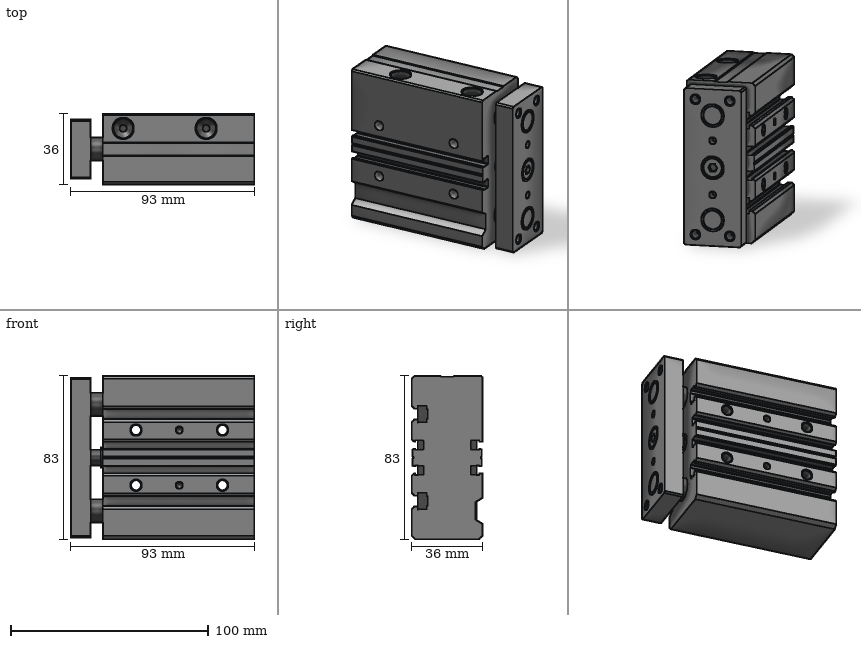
import cadquery as cq
import math


TOTAL_LENGTH = 93.0
HOUSING_START = 16.3
HOUSING_LENGTH = TOTAL_LENGTH - HOUSING_START
HOUSING_DEPTH = 36.0
HOUSING_HEIGHT = 83.0
HALF_DEPTH = HOUSING_DEPTH / 2
HALF_HEIGHT = HOUSING_HEIGHT / 2

TOP_FRONT_CHAMFER = 1.5
TOP_BACK_CHAMFER = 0.8
BOTTOM_CHAMFER = 1.95

WIDE_SLOT_Z = 22.0
WIDE_MOUTH = 5.4
WIDE_CAVITY = 8.4
WIDE_LIP = 3.2
WIDE_DEPTH = 7.7
WIDE_CORNER_CHAMFER = 0.3
WIDE_RECESS = 4.8
WIDE_RECESS_DEPTH = 0.5
WIDE_MOUTH_CHAMFER = 1.4

RIB_HEIGHT = 8.9
NARROW_MOUTH = 3.5
NARROW_LIP = 1.8
NARROW_OUTER_UNDERCUT = 0.7
NARROW_RIB_UNDERCUT = 0.4
NARROW_DEPTH = 6.0
NARROW_CHAMFER = 1.2
NARROW_CORNER_CHAMFER = 0.4
NARROW_OUTER_Z = RIB_HEIGHT / 2 + NARROW_MOUTH

RIB_SETBACK = 0.4
RIB_BEVEL_LENGTH = 0.7
RIB_BEVEL_DROP = 0.4
RIB_GROOVE_WIDTH = 1.3
RIB_GROOVE_FLOOR = 0.6
RIB_GROOVE_DEPTH = 0.5

TOP_GROOVE_WIDTH = 7.1
TOP_GROOVE_FLOOR = 6.1
TOP_GROOVE_DEPTH = 0.4
BACK_GROOVE_WIDTH = 13.2
BACK_GROOVE_DEPTH = 3.7
BACK_GROOVE_SLOPE = 0.63

GUIDE_SPACING = 53.9
GUIDE_RADIUS = 5.95
GUIDE_TIP_RADIUS = 4.9
GUIDE_TIP_LENGTH = 0.3
TIP_CHAMFER = 0.2
ROD_END = 83.7
PISTON_RADIUS = 4.1
PISTON_HEAD_RADIUS = 4.9
PISTON_HEAD_LENGTH = 1.95
HEX_ACROSS_FLATS = 4.0
HEX_DEPTH = 2.8
COLLAR_RADIUS = 5.2
COLLAR_LENGTH = 1.0

PLATE_THICKNESS = 10.0
PLATE_DEPTH = 30.0
PLATE_HEIGHT = 81.0
PLATE_CORNER_CHAMFER = 0.8
PLATE_HOLE_SPACING_Y = 18.0
PLATE_HOLE_SPACING_Z = 69.9
PLATE_HOLE_RADIUS = 2.0
PLATE_HOLE_CHAMFER = 0.6

MOUNT_HOLE_SPACING_Z = 28.0
MOUNT_HOLE_X = (33.0, 76.8)
MOUNT_HOLE_RADIUS = 2.5
MOUNT_HOLE_CHAMFER = 0.5
DOWEL_HOLE_X = sum(MOUNT_HOLE_X) / len(MOUNT_HOLE_X)
DOWEL_RADIUS = 1.7
DOWEL_CHAMFER = 0.2
DOWEL_DEPTH = 6.0
PORT_X = (26.5, 68.5)
PORT_Y = 10.5
PORT_RADIUS = 4.9
PORT_CHAMFER = 0.6
PORT_DEPTH = 9.3
PORT_PASSAGE_RADIUS = 1.8
PORT_PASSAGE_DEPTH = 18.6
DRILL_SLOPE = math.tan(math.radians(30))

ALONG_X = cq.Vector(1, 0, 0)
ALONG_Y = cq.Vector(0, 1, 0)
DOWN = cq.Vector(0, 0, -1)


def cylinder(radius, length, start, direction):
    return cq.Workplane(cq.Solid.makeCylinder(radius, length, start, direction))


def countersink(radius, chamfer, start, direction):
    return cq.Workplane(cq.Solid.makeCone(radius + chamfer, radius, chamfer, start, direction))


def through_hole(radius, chamfer, length, start, direction):
    """Hole of the given length, chamfered at its start."""
    return cylinder(radius, length, start, direction).union(countersink(radius, chamfer, start, direction))


def drilled_hole(radius, chamfer, depth, start, direction):
    """Blind hole with a chamfered mouth and a conical drill point."""
    bottom = start + direction * depth
    point = cq.Workplane(cq.Solid.makeCone(radius, 0, radius * DRILL_SLOPE, bottom, direction))
    return through_hole(radius, chamfer, depth, start, direction).union(point)


def bar(points):
    """Prism along the whole housing with the given (Y, Z) outline."""
    return cq.Workplane("YZ", origin=(HOUSING_START, 0, 0)).polyline(points).close().extrude(HOUSING_LENGTH)


def mirrored(points):
    """Outline completed by its mirror image below Z = 0."""
    return points + [(y, -z) for y, z in reversed(points)]


def housing_block():
    return bar([
        (-HALF_DEPTH, HALF_HEIGHT - TOP_FRONT_CHAMFER),
        (-HALF_DEPTH + TOP_FRONT_CHAMFER, HALF_HEIGHT),
        (HALF_DEPTH - TOP_BACK_CHAMFER, HALF_HEIGHT),
        (HALF_DEPTH, HALF_HEIGHT - TOP_BACK_CHAMFER),
        (HALF_DEPTH, -HALF_HEIGHT + BOTTOM_CHAMFER),
        (HALF_DEPTH - BOTTOM_CHAMFER, -HALF_HEIGHT),
        (-HALF_DEPTH + BOTTOM_CHAMFER, -HALF_HEIGHT),
        (-HALF_DEPTH, -HALF_HEIGHT + BOTTOM_CHAMFER),
    ])


def wide_slot():
    """Chamfered T-slot with a recessed floor, centred on Z = 0 in the front side."""
    face = -HALF_DEPTH
    return bar(mirrored([
        (face, WIDE_MOUTH / 2 + WIDE_MOUTH_CHAMFER),
        (face + WIDE_MOUTH_CHAMFER, WIDE_MOUTH / 2),
        (face + WIDE_LIP, WIDE_MOUTH / 2),
        (face + WIDE_LIP, WIDE_CAVITY / 2),
        (face + WIDE_DEPTH - WIDE_CORNER_CHAMFER, WIDE_CAVITY / 2),
        (face + WIDE_DEPTH, WIDE_CAVITY / 2 - WIDE_CORNER_CHAMFER),
        (face + WIDE_DEPTH, WIDE_RECESS / 2),
        (face + WIDE_DEPTH + WIDE_RECESS_DEPTH, WIDE_RECESS / 2),
    ]))


def narrow_slot(outer_chamfer):
    """T-slot in the front side just above the centre rib; its outer lip may be chamfered."""
    face = -HALF_DEPTH
    rib_top = RIB_HEIGHT / 2
    cavity_bottom = rib_top - NARROW_RIB_UNDERCUT
    cavity_top = NARROW_OUTER_Z + NARROW_OUTER_UNDERCUT
    outline = [
        (face, rib_top),
        (face + NARROW_LIP, rib_top),
        (face + NARROW_LIP, cavity_bottom),
        (face + NARROW_DEPTH - NARROW_CORNER_CHAMFER, cavity_bottom),
        (face + NARROW_DEPTH, cavity_bottom + NARROW_CORNER_CHAMFER),
        (face + NARROW_DEPTH, cavity_top - NARROW_CORNER_CHAMFER),
        (face + NARROW_DEPTH - NARROW_CORNER_CHAMFER, cavity_top),
        (face + NARROW_LIP, cavity_top),
        (face + NARROW_LIP, NARROW_OUTER_Z),
        (face + outer_chamfer, NARROW_OUTER_Z),
    ]
    if outer_chamfer > 0:
        outline.append((face, NARROW_OUTER_Z + outer_chamfer))
    return bar(outline)


def rib_relief():
    """Sets the front of the centre rib back, bevels its corners and grooves it along its middle."""
    face = -HALF_DEPTH
    rib_face = face + RIB_SETBACK
    return bar(mirrored([
        (face, RIB_HEIGHT / 2),
        (rib_face + RIB_BEVEL_LENGTH, RIB_HEIGHT / 2),
        (rib_face, RIB_HEIGHT / 2 - RIB_BEVEL_DROP),
        (rib_face, RIB_GROOVE_WIDTH / 2),
        (rib_face + RIB_GROOVE_DEPTH, RIB_GROOVE_FLOOR / 2),
    ]))


def top_groove():
    floor = HALF_HEIGHT - TOP_GROOVE_DEPTH
    return bar([
        (-TOP_GROOVE_WIDTH / 2, HALF_HEIGHT),
        (-TOP_GROOVE_FLOOR / 2, floor),
        (TOP_GROOVE_FLOOR / 2, floor),
        (TOP_GROOVE_WIDTH / 2, HALF_HEIGHT),
    ])


def back_groove():
    """Tapered groove in the back side, level with the lower guide rod."""
    floor_width = BACK_GROOVE_WIDTH - 2 * BACK_GROOVE_DEPTH * BACK_GROOVE_SLOPE
    groove = bar(mirrored([
        (HALF_DEPTH, BACK_GROOVE_WIDTH / 2),
        (HALF_DEPTH - BACK_GROOVE_DEPTH, floor_width / 2),
    ]))
    return groove.translate((0, 0, -GUIDE_SPACING / 2))


def port(x):
    """Top port: chamfered mouth, conical bottom and a narrow passage going on down."""
    start = cq.Vector(x, PORT_Y, HALF_HEIGHT)
    passage = cylinder(PORT_PASSAGE_RADIUS, PORT_PASSAGE_DEPTH, start, DOWN)
    return drilled_hole(PORT_RADIUS, PORT_CHAMFER, PORT_DEPTH, start, DOWN).union(passage)


def make_housing():
    housing = housing_block()
    for side in (1, -1):
        housing = housing.cut(wide_slot().translate((0, 0, side * WIDE_SLOT_Z)))
    for slot in (narrow_slot(NARROW_CHAMFER), narrow_slot(0).mirror("XZ")):
        housing = housing.cut(slot).cut(slot.mirror("XY"))
    housing = housing.cut(rib_relief()).cut(rib_relief().mirror("XZ"))
    housing = housing.cut(top_groove()).cut(back_groove())

    for z in (MOUNT_HOLE_SPACING_Z / 2, -MOUNT_HOLE_SPACING_Z / 2):
        for x in MOUNT_HOLE_X:
            start = cq.Vector(x, -HALF_DEPTH, z)
            housing = housing.cut(
                through_hole(MOUNT_HOLE_RADIUS, MOUNT_HOLE_CHAMFER, HOUSING_DEPTH, start, ALONG_Y)
            )
        start = cq.Vector(DOWEL_HOLE_X, -HALF_DEPTH, z)
        housing = housing.cut(drilled_hole(DOWEL_RADIUS, DOWEL_CHAMFER, DOWEL_DEPTH, start, ALONG_Y))
    for x in PORT_X:
        housing = housing.cut(port(x))

    collar_start = cq.Vector(HOUSING_START - COLLAR_LENGTH, 0, 0)
    housing = housing.union(cylinder(COLLAR_RADIUS, COLLAR_LENGTH, collar_start, ALONG_X))
    housing = housing.cut(cylinder(PISTON_RADIUS, ROD_END, cq.Vector(0, 0, 0), ALONG_X))
    for z in (GUIDE_SPACING / 2, -GUIDE_SPACING / 2):
        housing = housing.cut(cylinder(GUIDE_RADIUS, ROD_END, cq.Vector(0, 0, z), ALONG_X))
    return housing


def make_plate():
    plate = (
        cq.Workplane("YZ")
        .rect(PLATE_DEPTH, PLATE_HEIGHT)
        .extrude(PLATE_THICKNESS)
        .edges("|X")
        .chamfer(PLATE_CORNER_CHAMFER)
    )
    for y in (PLATE_HOLE_SPACING_Y / 2, -PLATE_HOLE_SPACING_Y / 2):
        for z in (PLATE_HOLE_SPACING_Z / 2, -PLATE_HOLE_SPACING_Z / 2):
            start = cq.Vector(0, y, z)
            plate = plate.cut(
                through_hole(PLATE_HOLE_RADIUS, PLATE_HOLE_CHAMFER, PLATE_THICKNESS, start, ALONG_X)
            )
    for z in (MOUNT_HOLE_SPACING_Z / 2, -MOUNT_HOLE_SPACING_Z / 2):
        start = cq.Vector(0, 0, z)
        plate = plate.cut(drilled_hole(DOWEL_RADIUS, DOWEL_CHAMFER, DOWEL_DEPTH, start, ALONG_X))
    for z in (GUIDE_SPACING / 2, -GUIDE_SPACING / 2):
        plate = plate.cut(cylinder(GUIDE_RADIUS, PLATE_THICKNESS, cq.Vector(0, 0, z), ALONG_X))
    centre = cq.Vector(0, 0, 0)
    plate = plate.cut(cylinder(PISTON_RADIUS, PLATE_THICKNESS, centre, ALONG_X))
    return plate.cut(cylinder(GUIDE_RADIUS, PISTON_HEAD_LENGTH, centre, ALONG_X))


def tipped_rod(radius, tip_radius, tip_length):
    """Rod from the plate's outer face into the housing, with a chamfered tip."""
    tip = cq.Workplane("YZ").circle(tip_radius).extrude(tip_length)
    tip = tip.faces("<X").chamfer(TIP_CHAMFER)
    shank = cq.Workplane("YZ", origin=(tip_length, 0, 0)).circle(radius).extrude(ROD_END - tip_length)
    return tip.union(shank)


def make_guide_rod(z):
    return tipped_rod(GUIDE_RADIUS, GUIDE_TIP_RADIUS, GUIDE_TIP_LENGTH).translate((0, 0, z))


def make_piston_rod():
    """Piston rod whose wider head sits in the plate and holds a hexagon socket."""
    rod = tipped_rod(PISTON_RADIUS, PISTON_HEAD_RADIUS, PISTON_HEAD_LENGTH)
    corner_diameter = HEX_ACROSS_FLATS / math.cos(math.pi / 6)
    return rod.cut(cq.Workplane("YZ").polygon(6, corner_diameter).extrude(HEX_DEPTH))


housing = make_housing()
plate = make_plate()
guide_rods = [make_guide_rod(z) for z in (GUIDE_SPACING / 2, -GUIDE_SPACING / 2)]
piston_rod = make_piston_rod()

result = cq.Compound.makeCompound(
    [housing.val(), plate.val(), *[rod.val() for rod in guide_rods], piston_rod.val()]
)